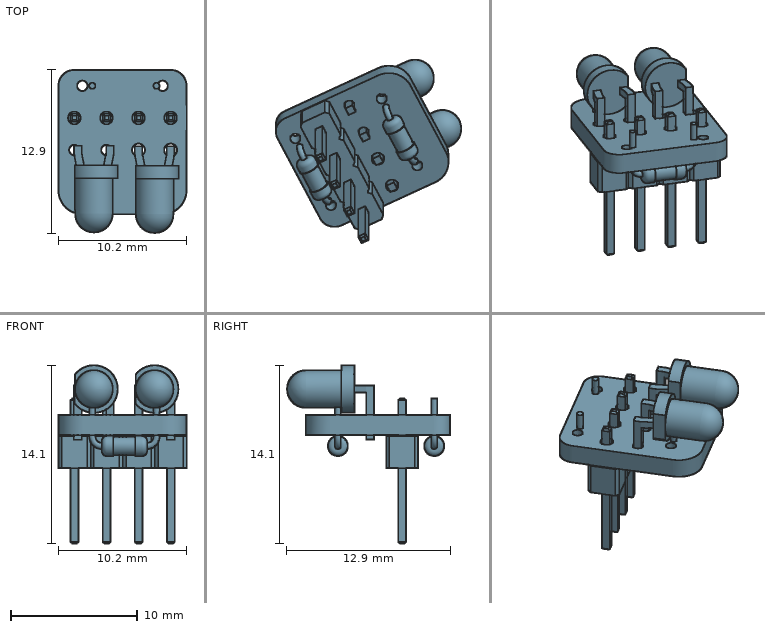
import cadquery as cq


BOARD_WIDTH = 10.16
BOARD_LENGTH = 11.43
BOARD_THICKNESS = 1.6
BACK_CORNER_RADIUS = 1.27
FRONT_CORNER_RADIUS = 1.91
SMALL_HOLE_DIAMETER = 0.8
LARGE_HOLE_DIAMETER = 1.0

PIN_COUNT = 4
PITCH = BOARD_WIDTH / PIN_COUNT
PIN_ROW_Y = 1.91
HEADER_SHIFT_X = 0.01
HEADER_GAP = 0.08
HEADER_HEIGHT = 2.53
HEADER_CHAMFER = 0.27
PIN_WIDTH = 0.64
PIN_LENGTH = 11.5
PIN_BOTTOM_Z = -8.59
PIN_TIP_CHAMFER = 0.15

LED_DIAMETER = 3.0
LED_LENGTH = 5.31
LED_AXIS_Z = 3.65
FLANGE_DIAMETER = 3.79
FLANGE_THICKNESS = 1.0
LEG_WIDTH = 0.62
LEG_BAR_HEIGHT = 0.58
LEG_BOTTOM_Z = -0.35
LEG_TO_FLANGE = 1.26
LEG_SPACING_AT_FLANGE = 2.18
LEG_ROW_Y = PIN_ROW_Y - PITCH
LEFT_LED_X = -2.26
LEFT_LED_SHIFT_Y = 0.04
LED_POSITIONS = [(LEFT_LED_X, LEG_ROW_Y + LEFT_LED_SHIFT_Y), (PITCH, LEG_ROW_Y)]

RESISTOR_X = 0.15
RESISTOR_YS = [PIN_ROW_Y + PITCH, LEG_ROW_Y - PITCH]
LEAD_DIAMETER = 0.5
LEAD_SPACING = 2 * PITCH
LEAD_BEND_RADIUS = 0.75
LEAD_TOP_Z = 2.91
RESISTOR_AXIS_Z = -0.86
RESISTOR_LENGTH = LEAD_SPACING - 2 * LEAD_BEND_RADIUS
CAP_DIAMETER = 1.6
CAP_FACE_DIAMETER = 0.82
CAP_LENGTH = 0.92
CORE_DIAMETER = 1.44
RESISTOR_HOLE_SPACING = 2.5 * PITCH

PIN_XS = [(i - (PIN_COUNT - 1) / 2) * PITCH for i in range(PIN_COUNT)]
LEAD_XS = [RESISTOR_X - LEAD_SPACING / 2, RESISTOR_X + LEAD_SPACING / 2]


def upright_cylinders(points, diameter, height):
    """Cylinders standing on the plane of the board's underside."""
    return cq.Workplane("XY").pushPoints(points).circle(diameter / 2).extrude(height)


def lead_bores():
    """Round bores that the upright resistor leads fill above the underside of the board."""
    points = [(x, y) for x in LEAD_XS for y in RESISTOR_YS]
    return upright_cylinders(points, LEAD_DIAMETER, LEAD_TOP_Z)


def make_board():
    board = cq.Workplane("XY").box(BOARD_WIDTH, BOARD_LENGTH, BOARD_THICKNESS, centered=(True, True, False))
    board = board.edges("|Z and >Y").fillet(BACK_CORNER_RADIUS)
    board = board.edges("|Z and <Y").fillet(FRONT_CORNER_RADIUS)

    resistor_holes = [(side * RESISTOR_HOLE_SPACING / 2, y) for side in (-1, 1) for y in RESISTOR_YS]
    left_led_holes = [(x, LEG_ROW_Y) for x in PIN_XS[:2]]
    right_led_holes = [(x, LEG_ROW_Y) for x in PIN_XS[2:]]
    pin_holes = [(x, PIN_ROW_Y) for x in PIN_XS]
    small_holes = resistor_holes + left_led_holes
    large_holes = pin_holes + right_led_holes
    board = board.cut(upright_cylinders(small_holes, SMALL_HOLE_DIAMETER, BOARD_THICKNESS))
    board = board.cut(upright_cylinders(large_holes, LARGE_HOLE_DIAMETER, BOARD_THICKNESS))

    leg_points = [(x + side * PITCH / 2, y) for x, y in LED_POSITIONS for side in (-1, 1)]
    leg_slots = cq.Workplane("XY").pushPoints(leg_points).rect(LEG_WIDTH, LEG_WIDTH)
    return board.cut(lead_bores()).cut(leg_slots.extrude(BOARD_THICKNESS))


def make_header():
    """Row of chamfered square segments, each with one square pin through it."""
    pin_points = [(x + HEADER_SHIFT_X, PIN_ROW_Y) for x in PIN_XS]
    header = cq.Workplane("XY")
    for x, y in pin_points:
        segment = (
            cq.Workplane("XY")
            .box(PITCH, PITCH, HEADER_HEIGHT, centered=(True, True, False))
            .edges("|Z")
            .chamfer(HEADER_CHAMFER)
            .translate((x, y, -HEADER_GAP - HEADER_HEIGHT))
        )
        pin = (
            cq.Workplane("XY")
            .box(PIN_WIDTH, PIN_WIDTH, PIN_LENGTH, centered=(True, True, False))
            .faces("<Z or >Z")
            .chamfer(PIN_TIP_CHAMFER)
            .translate((x, y, PIN_BOTTOM_Z))
        )
        header = header.union(segment).union(pin)
    return header


def make_led_leg(side):
    """Upright leg with a bar on top that slants inwards to the flange; side is -1 or 1."""
    half = LEG_WIDTH / 2
    leg_x = side * PITCH / 2
    flange_x = side * LEG_SPACING_AT_FLANGE / 2
    bar_top_z = LED_AXIS_Z + LEG_BAR_HEIGHT / 2
    upright = (
        cq.Workplane("XY", origin=(leg_x, 0, LEG_BOTTOM_Z))
        .rect(LEG_WIDTH, LEG_WIDTH)
        .extrude(bar_top_z - LEG_BOTTOM_Z)
    )
    bar = (
        cq.Workplane("XY", origin=(0, 0, bar_top_z - LEG_BAR_HEIGHT))
        .moveTo(leg_x - half, -half)
        .lineTo(leg_x + half, -half)
        .lineTo(flange_x + half, -LEG_TO_FLANGE)
        .lineTo(flange_x - half, -LEG_TO_FLANGE)
        .close()
        .extrude(LEG_BAR_HEIGHT)
    )
    return upright.union(bar)


def make_led(position):
    """LED lying along -Y, with its flange flat on the -X side, placed by the middle of its legs."""
    radius = LED_DIAMETER / 2
    barrel_length = LED_LENGTH - radius
    back = cq.Workplane("XZ", origin=(0, -LEG_TO_FLANGE, LED_AXIS_Z))
    flange = back.circle(FLANGE_DIAMETER / 2).extrude(FLANGE_THICKNESS)
    beyond_flat = (
        back.center(-radius - FLANGE_DIAMETER / 2, 0)
        .rect(FLANGE_DIAMETER, FLANGE_DIAMETER)
        .extrude(FLANGE_THICKNESS)
    )
    barrel_and_dome = (
        cq.Workplane("XY", origin=(0, -LEG_TO_FLANGE, LED_AXIS_Z))
        .lineTo(radius, 0)
        .lineTo(radius, -barrel_length)
        .radiusArc((0, -LED_LENGTH), radius)
        .close()
        .revolve(360, (0, 0, 0), (0, 1, 0))
    )
    led = flange.cut(beyond_flat).union(barrel_and_dome)
    for side in (-1, 1):
        led = led.union(make_led_leg(side))
    x, y = position
    return led.translate((x, y, 0)).cut(lead_bores())


def make_resistor(y):
    """Resistor lying along X under the board, with both leads bent up through it."""
    cap_radius = CAP_DIAMETER / 2
    face_radius = CAP_FACE_DIAMETER / 2
    core_radius = CORE_DIAMETER / 2
    rounding = cap_radius - face_radius
    end_x = RESISTOR_LENGTH / 2
    core_end_x = end_x - CAP_LENGTH
    body = (
        cq.Workplane("XY")
        .moveTo(-end_x, 0)
        .lineTo(-end_x, face_radius)
        .radiusArc((-end_x + rounding, cap_radius), rounding)
        .lineTo(-core_end_x, cap_radius)
        .lineTo(-core_end_x, core_radius)
        .lineTo(core_end_x, core_radius)
        .lineTo(core_end_x, cap_radius)
        .lineTo(end_x - rounding, cap_radius)
        .radiusArc((end_x, face_radius), rounding)
        .lineTo(end_x, 0)
        .close()
        .revolve(360, (0, 0, 0), (1, 0, 0))
    )
    lead_path = (
        cq.Workplane("XZ")
        .moveTo(end_x, 0)
        .radiusArc((LEAD_SPACING / 2, LEAD_BEND_RADIUS), -LEAD_BEND_RADIUS)
        .lineTo(LEAD_SPACING / 2, LEAD_TOP_Z - RESISTOR_AXIS_Z)
    )
    lead = cq.Workplane("YZ", origin=(end_x, 0, 0)).circle(LEAD_DIAMETER / 2).sweep(lead_path)
    resistor = body.union(lead).union(lead.mirror("YZ"))
    return resistor.translate((RESISTOR_X, y, RESISTOR_AXIS_Z))


board = make_board()
header = make_header()
leds = [make_led(position) for position in LED_POSITIONS]
resistors = [make_resistor(y) for y in RESISTOR_YS]

result = cq.Compound.makeCompound([body.solids().val() for body in [board, header, *leds, *resistors]])